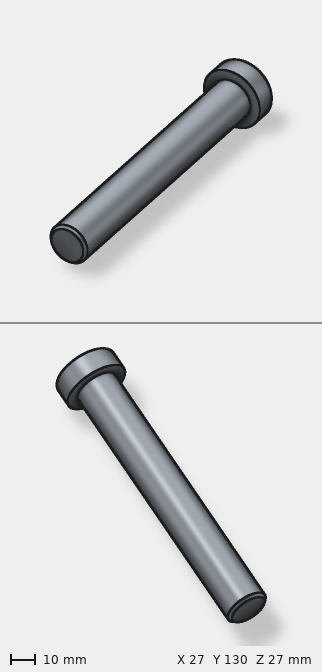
import cadquery as cq

total_length = 130.0
head_diameter = 27.0
head_thickness = 10.0
head_edge_radius = 1.8
shank_diameter = 18.0
tip_chamfer = 1.3

shank_length = total_length - head_thickness


def make_shank():
    """Round shank from the tip at Y = 0, with a chamfered tip edge."""
    shank = cq.Workplane("XZ").circle(shank_diameter / 2).extrude(-shank_length)
    return shank.faces("<Y").chamfer(tip_chamfer)


def make_head():
    """Round head on the end of the shank, with a rounded outer edge."""
    head_plane = cq.Workplane("XZ", origin=(0, shank_length, 0))
    head = head_plane.circle(head_diameter / 2).extrude(-head_thickness)
    return head.faces(">Y").edges().fillet(head_edge_radius)


result = make_shank().union(make_head())